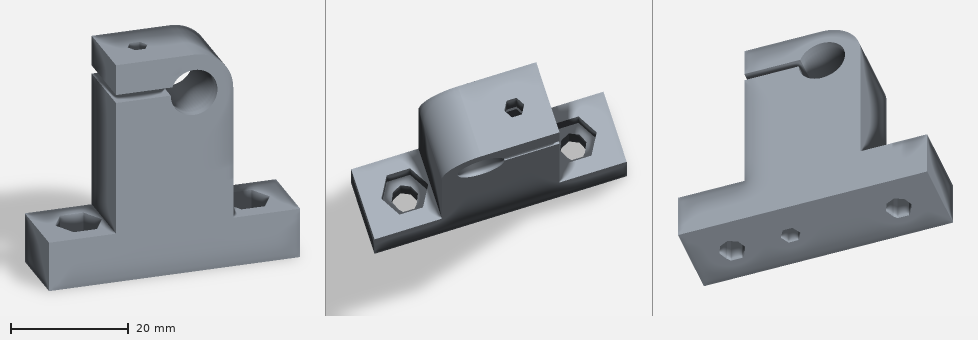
import cadquery as cq
import math

width = 13.0
base_length = 45.0
base_height = 9.0
total_height = 40.3
upright_length = 21.0
crown_radius = 7.0
bore_radius = 4.2
slot_height = 1.5
mount_spacing = 30.05
mount_hole_tip = 2.35
mount_hole_corners = [(1.58, 1.6), (0, 2.35), (-1.65, 1.58), (-2.3, 1.05)]
nut_diameter = 8.35
nut_depth = 4.0
clamp_y = -4.5
clamp_hole_diameter = 3.55
hex_sides = 6

upright_half = upright_length / 2
bore_y = upright_half - crown_radius
bore_z = total_height - crown_radius


def hexagon_prism(y, bottom, height, diameter):
    """Vertical hexagonal prism with two corners on the Y axis."""
    plan = cq.Workplane("XY").workplane(offset=bottom).center(0, y)
    return plan.transformed(rotate=(0, 0, 90)).polygon(hex_sides, diameter).extrude(height)


def mounting_hole(y):
    """Faceted through hole, symmetric about its X axis, with a flat on the -X side."""
    mirrored_corners = [(corner_x, -corner_y) for corner_x, corner_y in reversed(mount_hole_corners)]
    outline = [(mount_hole_tip, 0)] + mount_hole_corners + mirrored_corners
    return cq.Workplane("XY").center(0, y).polyline(outline).close().extrude(base_height)


base = cq.Workplane("XY").box(width, base_length, base_height, centered=(True, True, False))
crown_mid = crown_radius * math.sqrt(0.5)
upright = (
    cq.Workplane("YZ")
    .moveTo(-upright_half, 0)
    .lineTo(upright_half, 0)
    .lineTo(upright_half, bore_z)
    .threePointArc((bore_y + crown_mid, bore_z + crown_mid), (bore_y, total_height))
    .lineTo(-upright_half, total_height)
    .close()
    .extrude(width / 2, both=True)
)
result = base.union(upright)

bore = cq.Workplane("YZ").center(bore_y, bore_z).circle(bore_radius).extrude(width / 2, both=True)
slot_length = bore_y + upright_half
slot = cq.Workplane("XY").box(width, slot_length, slot_height, centered=(True, False, False))
slot = slot.translate((0, -upright_half, bore_z))
result = result.cut(bore).cut(slot)

result = result.cut(hexagon_prism(clamp_y, 0, total_height, clamp_hole_diameter))

for mount_y in (-mount_spacing / 2, mount_spacing / 2):
    hole = mounting_hole(mount_y)
    pocket = hexagon_prism(mount_y, base_height - nut_depth, nut_depth, nut_diameter)
    result = result.cut(hole).cut(pocket)